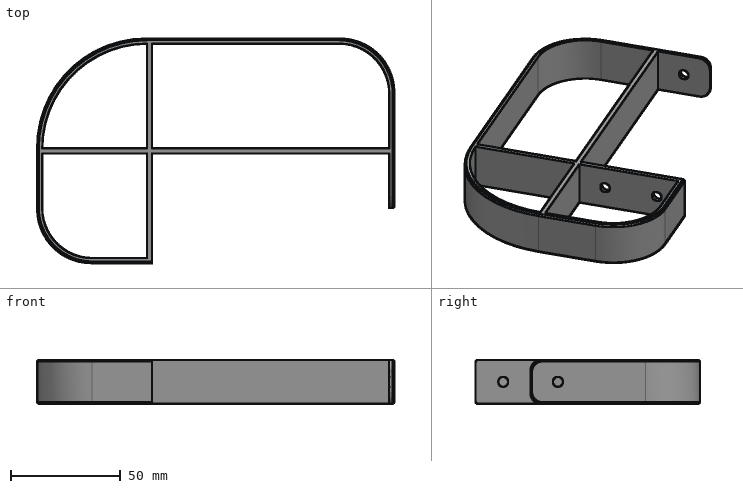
import cadquery as cq

length = 163.0
width = 102.5
height = 20.0

wall = 2.5
divider_offset = 50.0
leg_length = 77.5

large_radius = divider_offset
small_radius = large_radius / 2
leg_end_radius = 5.0
rim_chamfer = 0.8

hole_diameter = 4.5
hole_spacing = 25.0
hole_inset = 12.4

divider_right = divider_offset + wall
divider_back = width - divider_offset
divider_front = divider_back - wall
leg_end = width - leg_length


def box(x_min, x_max, y_min, y_max):
    """Full-height block spanning the given X and Y ranges."""
    return (
        cq.Workplane("XY")
        .box(x_max - x_min, y_max - y_min, height, centered=False)
        .translate((x_min, y_min, 0))
    )


def rounded_block(inset):
    """Block with three rounded corners, its sides moved inward by inset."""
    block = box(inset, length - inset, inset, width - inset)
    block = block.edges("|Z and <X and >Y").fillet(large_radius - inset)
    block = block.edges("|Z and <X and <Y").fillet(small_radius - inset)
    return block.edges("|Z and >X and >Y").fillet(small_radius - inset)


def make_rim():
    """Open curved band with a rounded leg end and chamfered outer edges."""
    rim = rounded_block(0).cut(rounded_block(wall))
    rim = rim.cut(box(divider_right, length - wall, 0, divider_front))
    rim = rim.cut(box(length - wall, length, 0, leg_end))
    leg_tip = cq.selectors.BoxSelector(
        (length - 2 * wall, leg_end - wall, -wall),
        (length + wall, leg_end + wall, height + wall),
    )
    rim = rim.edges(leg_tip).edges("|X").fillet(leg_end_radius)
    return rim.faces(">Y").edges(">Z").chamfer(rim_chamfer)


def make_dividers():
    """Crossing straight walls that tie the band together."""
    lengthwise = box(wall / 2, length - wall, divider_front, divider_back)
    crosswise = box(divider_offset, divider_right, wall / 2, width - wall)
    return lengthwise.union(crosswise)


def hole_through(x_start, y):
    """Horizontal cutter through a wall whose left face is at x_start."""
    return (
        cq.Workplane("YZ", origin=(x_start, y, height / 2))
        .circle(hole_diameter / 2)
        .extrude(wall)
    )


first_hole_y = divider_front - hole_inset
result = make_rim().union(make_dividers())
for hole_y in (first_hole_y, first_hole_y - hole_spacing):
    result = result.cut(hole_through(divider_offset, hole_y))
result = result.cut(hole_through(length - wall, first_hole_y))